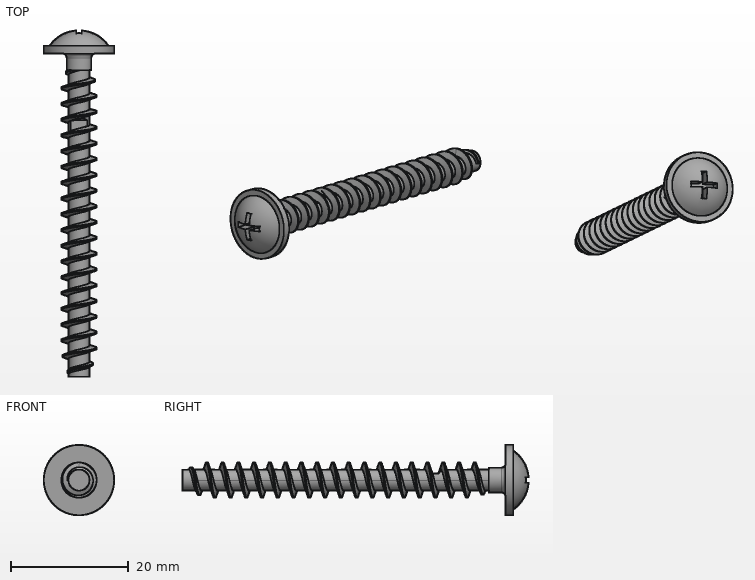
import cadquery as cq
import math

length = 58.9
top_y = length / 2
tip_y = -length / 2

flange_radius = 6.0
flange_thickness = 1.35
dome_radius = 5.0
dome_height = 2.6
flange_top_y = top_y - dome_height
flange_bottom_y = flange_top_y - flange_thickness

recess_width = 0.9
recess_span = 4.7
recess_depth = 2.35

neck_radius = 2.1
neck_fillet = 0.7
neck_end_y = 22.7
core_diameter = 3.6
core_radius = core_diameter / 2

thread_radius = 3.0
root_embedding = 0.2
root_radius = core_radius - root_embedding
root_width = 1.05
crest_width = 0.25
thread_top_y = 23.0
thread_length = 51.6
thread_turns = 19.25
pitch = thread_length / thread_turns
lead_in_turns = 1.0
lead_out_turns = 1.25
lead_in_radius = 2.0
lead_out_radius = 2.0
points_per_turn = 16

notch_height = 1.1
notch_floor_top_y = 14.15
notch_floor_length = 1.75
notch_ramp_length = 0.5


def revolved_body():
    """Head, neck and core turned about Y."""
    recess_corner_radius = recess_width / math.sqrt(2)
    center_drop = (dome_radius**2 - recess_corner_radius**2 - dome_height**2) / (2 * dome_height)
    sphere_radius = math.hypot(dome_radius, center_drop)
    center_y = flange_top_y - center_drop
    dome_mid_x = dome_radius / 2
    dome_mid_y = center_y + math.sqrt(sphere_radius**2 - dome_mid_x**2)
    profile = (
        cq.Workplane("XY")
        .moveTo(0, center_y + sphere_radius)
        .threePointArc((dome_mid_x, dome_mid_y), (dome_radius, flange_top_y))
        .lineTo(flange_radius, flange_top_y)
        .lineTo(flange_radius, flange_bottom_y)
        .lineTo(neck_radius + neck_fillet, flange_bottom_y)
        .radiusArc((neck_radius, flange_bottom_y - neck_fillet), -neck_fillet)
        .lineTo(neck_radius, neck_end_y)
        .lineTo(core_radius, neck_end_y)
        .lineTo(core_radius, tip_y)
        .lineTo(0, tip_y)
        .close()
    )
    return profile.revolve(360, (0, 0, 0), (0, 1, 0))


def cross_recess():
    """Two crossed bars centered on top_y, so that they also clear the apex of the dome."""
    wing = cq.Workplane("XY").box(recess_span, 2 * recess_depth, recess_width)
    cross = wing.union(wing.rotate((0, 0, 0), (0, 1, 0), 90))
    return cross.translate((0, top_y, 0))


def core_notch():
    """Trapezoidal block that leaves a flat with ramped ends on the +Z side of the core."""
    floor_bottom_y = notch_floor_top_y - notch_floor_length
    return (
        cq.Workplane("YZ")
        .moveTo(floor_bottom_y, notch_height)
        .lineTo(notch_floor_top_y, notch_height)
        .lineTo(notch_floor_top_y + notch_ramp_length, core_radius)
        .lineTo(floor_bottom_y - notch_ramp_length, core_radius)
        .close()
        .extrude(core_radius, both=True)
    )


def helix_edge(first_turn, last_turn, first_radius, last_radius, offset_y):
    """Helical edge running down from thread_top_y, starting at +Z, with a linear change of radius."""
    steps = math.ceil((last_turn - first_turn) * points_per_turn)
    points = []
    for step in range(steps + 1):
        fraction = step / steps
        turn = first_turn + fraction * (last_turn - first_turn)
        radius = first_radius + fraction * (last_radius - first_radius)
        angle = 2 * math.pi * turn
        y = thread_top_y - pitch * turn + offset_y
        points.append(cq.Vector(-radius * math.sin(angle), y, radius * math.cos(angle)))
    return cq.Edge.makeSpline(points)


def thread_ridge():
    """Trapezoidal ridge: lead-in, full-height stretch and lead-out in one closed shell."""
    lead_out_start = thread_turns - lead_out_turns
    stretches = [
        (0, lead_in_turns, lead_in_radius, thread_radius),
        (lead_in_turns, lead_out_start, thread_radius, thread_radius),
        (lead_out_start, thread_turns, thread_radius, lead_out_radius),
    ]
    faces = []
    for first_turn, last_turn, first_crest, last_crest in stretches:
        edges = [
            helix_edge(first_turn, last_turn, root_radius, root_radius, root_width / 2),
            helix_edge(first_turn, last_turn, first_crest, last_crest, crest_width / 2),
            helix_edge(first_turn, last_turn, first_crest, last_crest, -crest_width / 2),
            helix_edge(first_turn, last_turn, root_radius, root_radius, -root_width / 2),
        ]
        for index, edge in enumerate(edges):
            faces.append(cq.Face.makeRuledSurface(edges[index - 1], edge))
        if first_turn == 0:
            start_corners = [edge.startPoint() for edge in edges]
        end_corners = [edge.endPoint() for edge in edges]
    for corners in (start_corners, end_corners):
        faces.append(cq.Face.makeFromWires(cq.Wire.makePolygon(corners, close=True)))
    return cq.Workplane(cq.Solid.makeSolid(cq.Shell.makeShell(faces)))


body = revolved_body().cut(cross_recess()).cut(core_notch())
result = body.union(thread_ridge())